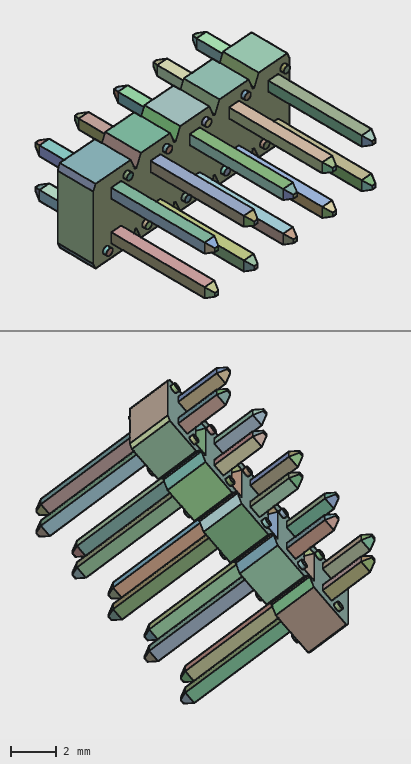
import cadquery as cq
import math

pin_columns = 5
pitch = 2.54

body_length = pin_columns * pitch
body_height = 4.83
body_thickness = 2.15
column_shift = 0.22

flank_slope = math.tan(math.radians(22.5))
notch_depth = 0.69
notch_floor_width = 0.09
notch_mouth_width = notch_floor_width + 2 * notch_depth * flank_slope
chamfer_height = 0.35
chamfer_length = chamfer_height * flank_slope

pocket_width = 0.7
pocket_height = 3.21
pocket_floor_width = 0.13
pocket_floor_height = 2.74
pocket_depth = 0.45

pin_width = 0.64
pin_tip_width = 0.23
pin_taper_length = 0.43
pin_length = 10.8
pin_short_end = 2.6

peg_diameter = 0.41
peg_height = 0.22
peg_offset_y = 0.66
peg_offset_z = 1.75

body_x = pin_short_end - pin_length / 2
first_column = column_shift - (pin_columns - 1) * pitch / 2
column_places = [first_column + i * pitch for i in range(pin_columns)]
gap_places = [y + pitch / 2 for y in column_places[:-1]]


def make_body():
    """Slab with its four long end edges chamfered in the YZ outline."""
    half_length = body_length / 2
    half_height = body_height / 2
    corner_y = half_length - chamfer_length
    corner_z = half_height - chamfer_height
    outline = [
        (-half_length, -corner_z),
        (-corner_y, -half_height),
        (corner_y, -half_height),
        (half_length, -corner_z),
        (half_length, corner_z),
        (corner_y, half_height),
        (-corner_y, half_height),
        (-half_length, corner_z),
    ]
    return cq.Workplane("YZ", origin=(body_x, 0, 0)).polyline(outline).close().extrude(body_thickness)


def make_notch(y, side):
    """Break-off notch across the top (side = 1) or bottom (side = -1)."""
    mouth_z = side * body_height / 2
    floor_z = mouth_z - side * notch_depth
    outline = [
        (y - notch_mouth_width / 2, mouth_z),
        (y - notch_floor_width / 2, floor_z),
        (y + notch_floor_width / 2, floor_z),
        (y + notch_mouth_width / 2, mouth_z),
    ]
    return cq.Workplane("YZ", origin=(body_x, 0, 0)).polyline(outline).close().extrude(body_thickness)


def make_pocket(y):
    """Pocket narrowing from its mouth to a slim floor."""
    return (
        cq.Workplane("YZ", origin=(body_x, y, 0))
        .rect(pocket_width, pocket_height)
        .workplane(offset=pocket_depth)
        .rect(pocket_floor_width, pocket_floor_height)
        .loft(ruled=True)
    )


def make_pin(y, z):
    """Square pin with a truncated pyramid at each end."""
    shank_length = pin_length - 2 * pin_taper_length
    pin = cq.Workplane("YZ", origin=(-shank_length / 2, y, z)).rect(pin_width, pin_width).extrude(shank_length)
    for direction in (1, -1):
        tip = (
            cq.Workplane("YZ", origin=(direction * shank_length / 2, y, z))
            .rect(pin_width, pin_width)
            .workplane(offset=direction * pin_taper_length)
            .rect(pin_tip_width, pin_tip_width)
            .loft(ruled=True)
        )
        pin = pin.union(tip)
    return pin


def make_peg(y, z):
    """Peg running through the body and standing out of both faces."""
    return (
        cq.Workplane("YZ", origin=(body_x - peg_height, y, z))
        .circle(peg_diameter / 2)
        .extrude(body_thickness + 2 * peg_height)
    )


result = make_body()

for gap_y in gap_places:
    result = result.cut(make_notch(gap_y, 1))
    result = result.cut(make_notch(gap_y, -1))
    result = result.cut(make_pocket(gap_y))

for column_y in column_places:
    for side in (1, -1):
        result = result.union(make_pin(column_y, side * pitch / 2))
        result = result.union(make_peg(column_y + side * peg_offset_y, side * peg_offset_z))